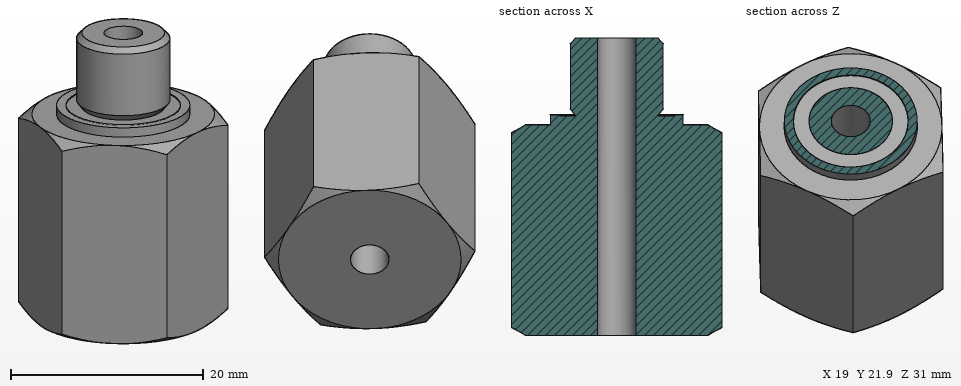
import cadquery as cq
import math

total_height = 31.0
across_flats = 19.0
hex_height = 21.98
collar_diameter = 13.9
collar_height = 1.02
stud_diameter = 9.73
stud_tip_diameter = 8.6
stud_tip_chamfer_height = 0.6
neck_diameter = 8.65
neck_taper_height = 0.68
recess_diameter = 11.9
recess_depth = 0.1
bore_diameter = 4.0
corner_chamfer_angle = 30.0
envelope_margin = 0.3

hexagon_half_angle = 30.0
across_corners = across_flats / math.cos(math.radians(hexagon_half_angle))
collar_top = hex_height + collar_height
recess_floor = collar_top - recess_depth


def revolve_profile(points):
    """Revolve a closed (radius, height) outline about Z."""
    return cq.Workplane("XZ").polyline(points).close().revolve(360, (0, 0, 0), (0, 1, 0))


def make_hexagon():
    """Hexagonal body with corners on Y and both ends chamfered by a cone."""
    hexagon = (
        cq.Workplane("XY")
        .polygon(6, across_corners)
        .extrude(hex_height)
        .rotate((0, 0, 0), (0, 0, 1), hexagon_half_angle)
    )
    flat_radius = across_flats / 2
    outer_radius = across_corners / 2 + envelope_margin
    drop = (outer_radius - flat_radius) * math.tan(math.radians(corner_chamfer_angle))
    envelope = revolve_profile([
        (0, 0),
        (flat_radius, 0),
        (outer_radius, drop),
        (outer_radius, hex_height - drop),
        (flat_radius, hex_height),
        (0, hex_height),
    ])
    return hexagon.intersect(envelope)


def make_collar():
    return cq.Workplane("XY").workplane(offset=hex_height).circle(collar_diameter / 2).extrude(collar_height)


def make_recess():
    """Seal recess sunk into the top of the collar around the neck."""
    return (
        cq.Workplane("XY")
        .workplane(offset=recess_floor)
        .circle(recess_diameter / 2)
        .extrude(recess_depth)
    )


def make_stud():
    """Stud with a chamfered tip, tapering down to the recess floor."""
    return revolve_profile([
        (0, hex_height),
        (neck_diameter / 2, hex_height),
        (neck_diameter / 2, recess_floor),
        (stud_diameter / 2, recess_floor + neck_taper_height),
        (stud_diameter / 2, total_height - stud_tip_chamfer_height),
        (stud_tip_diameter / 2, total_height),
        (0, total_height),
    ])


def make_bore():
    return cq.Workplane("XY").circle(bore_diameter / 2).extrude(total_height)


collar = make_collar().cut(make_recess())
result = make_hexagon().union(collar).union(make_stud()).cut(make_bore())